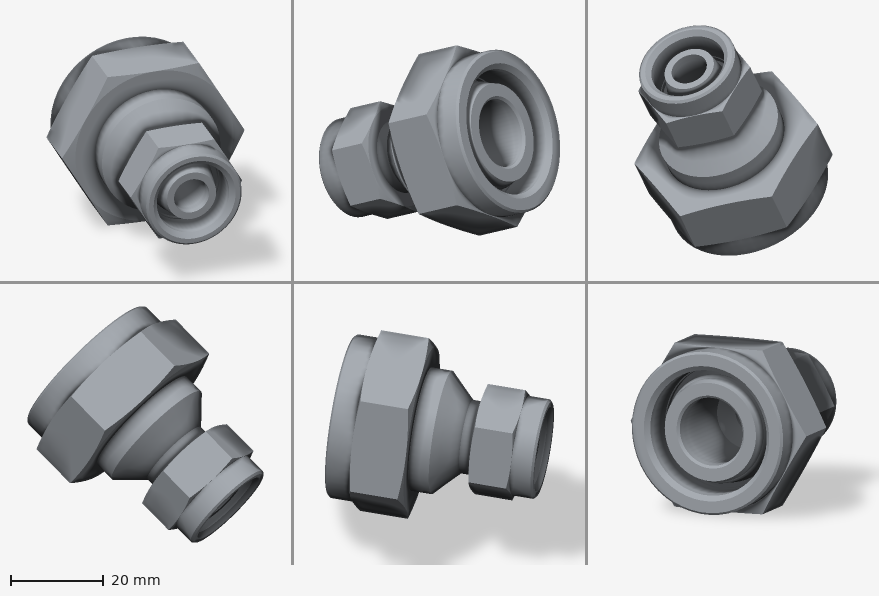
import cadquery as cq
import math


LENGTH = 44.4
NOSE_RECESS = 2.0

LARGE_FLATS = 36.0
LARGE_NUT_LENGTH = 17.5
LARGE_COLLAR_LENGTH = 5.5
LARGE_COLLAR_RADIUS = 17.9
LARGE_BORE_RADIUS = 13.75
LARGE_BORE_DEPTH = 8.8

SMALL_FLATS = 22.0
SMALL_NUT_LENGTH = 14.15
SMALL_COLLAR_LENGTH = 5.0
SMALL_COLLAR_RADIUS = 10.9
SMALL_BORE_RADIUS = 8.25
SMALL_BORE_DEPTH = 7.65

COLLAR_CHAMFER = 0.5
BORE_CHAMFER = 1.05
HEX_CHAMFER_ANGLE = 15.0

LARGE_NECK_RADIUS = 13.5
LARGE_NECK_END = 22.02
SMALL_NECK_RADIUS = 8.05
SMALL_NECK_START = 27.5
SHOULDER_WIDTH = 1.0
LARGE_NOSE_RADIUS = 10.8
SMALL_NOSE_RADIUS = 5.6
NOSE_HALF_ANGLE = 12.0

BEAD_START = 4.7
BEAD_WIDTH = 1.95
BEAD_RADIUS = 11.9

LARGE_PASSAGE_RADIUS = 7.45
PASSAGE_CHAMFER = 0.55
SMALL_PASSAGE_RADIUS = 4.0
PASSAGE_CONE_HALF_ANGLE = 60.0


def slope(degrees):
    return math.tan(math.radians(degrees))


def revolve_about_x(outline):
    """Turn a closed (x, radius) outline about the X axis."""
    return outline.close().revolve(360, (0, 0, 0), (1, 0, 0))


def chamfered_hexagon(flats, start, end):
    """Hexagonal prism with corners on the Y axis and conical chamfers at both ends."""
    corner = flats / math.sqrt(3)
    prism = cq.Workplane("YZ", origin=(start, 0, 0)).polygon(6, 2 * corner).extrude(end - start)
    face_radius = flats / 2
    chamfer = (corner - face_radius) * slope(HEX_CHAMFER_ANGLE)
    envelope = revolve_about_x(cq.Workplane("XY").polyline([
        (start, 0),
        (start, face_radius),
        (start + chamfer, corner),
        (end - chamfer, corner),
        (end, face_radius),
        (end, 0),
    ]))
    return prism.intersect(envelope)


def swivel_nut(flats, length, collar_length, collar_radius, bore_radius, bore_depth, neck_radius):
    """Nut with its open, collared end at X = 0 and its hexagon toward +X."""
    hexagon = chamfered_hexagon(flats, collar_length, length)
    collar = revolve_about_x(cq.Workplane("XY").polyline([
        (0, 0),
        (0, collar_radius - COLLAR_CHAMFER),
        (COLLAR_CHAMFER, collar_radius),
        (collar_length, collar_radius),
        (collar_length, 0),
    ]))
    stepped_bore = revolve_about_x(cq.Workplane("XY").polyline([
        (0, 0),
        (0, bore_radius + BORE_CHAMFER),
        (BORE_CHAMFER, bore_radius),
        (bore_depth, bore_radius),
        (bore_depth, neck_radius),
        (length, neck_radius),
        (length, 0),
    ]))
    return hexagon.union(collar).cut(stepped_bore)


def stepped_body():
    """Body with conical noses, two necks joined by a cone, and a tapering passage."""
    large_root_radius = LARGE_NECK_RADIUS - SHOULDER_WIDTH
    small_root_radius = SMALL_NECK_RADIUS - SHOULDER_WIDTH
    nose_slope = slope(NOSE_HALF_ANGLE)
    large_face = NOSE_RECESS
    small_face = LENGTH - NOSE_RECESS
    large_root = large_face + (large_root_radius - LARGE_NOSE_RADIUS) / nose_slope
    small_root = small_face - (small_root_radius - SMALL_NOSE_RADIUS) / nose_slope

    bead_end = BEAD_START + BEAD_WIDTH
    bead_start_radius = LARGE_NOSE_RADIUS + (BEAD_START - large_face) * nose_slope
    bead_end_radius = LARGE_NOSE_RADIUS + (bead_end - large_face) * nose_slope

    cone_start = LARGE_NECK_END
    cone_length = (LARGE_PASSAGE_RADIUS - SMALL_PASSAGE_RADIUS) / slope(PASSAGE_CONE_HALF_ANGLE)

    return revolve_about_x(
        cq.Workplane("XY")
        .moveTo(large_face, LARGE_PASSAGE_RADIUS + PASSAGE_CHAMFER)
        .lineTo(large_face, LARGE_NOSE_RADIUS)
        .lineTo(BEAD_START, bead_start_radius)
        .threePointArc((BEAD_START + BEAD_WIDTH / 2, BEAD_RADIUS), (bead_end, bead_end_radius))
        .lineTo(large_root, large_root_radius)
        .lineTo(large_root, LARGE_NECK_RADIUS)
        .lineTo(LARGE_NECK_END, LARGE_NECK_RADIUS)
        .lineTo(SMALL_NECK_START, SMALL_NECK_RADIUS)
        .lineTo(small_root, SMALL_NECK_RADIUS)
        .lineTo(small_root, small_root_radius)
        .lineTo(small_face, SMALL_NOSE_RADIUS)
        .lineTo(small_face, SMALL_PASSAGE_RADIUS)
        .lineTo(cone_start + cone_length, SMALL_PASSAGE_RADIUS)
        .lineTo(cone_start, LARGE_PASSAGE_RADIUS)
        .lineTo(large_face + PASSAGE_CHAMFER, LARGE_PASSAGE_RADIUS)
    )


body = stepped_body()

large_nut = swivel_nut(
    LARGE_FLATS, LARGE_NUT_LENGTH, LARGE_COLLAR_LENGTH, LARGE_COLLAR_RADIUS,
    LARGE_BORE_RADIUS, LARGE_BORE_DEPTH, LARGE_NECK_RADIUS,
)

small_nut = swivel_nut(
    SMALL_FLATS, SMALL_NUT_LENGTH, SMALL_COLLAR_LENGTH, SMALL_COLLAR_RADIUS,
    SMALL_BORE_RADIUS, SMALL_BORE_DEPTH, SMALL_NECK_RADIUS,
).rotate((0, 0, 0), (0, 0, 1), 180).translate((LENGTH, 0, 0))

result = cq.Compound.makeCompound([body.val(), large_nut.val(), small_nut.val()])